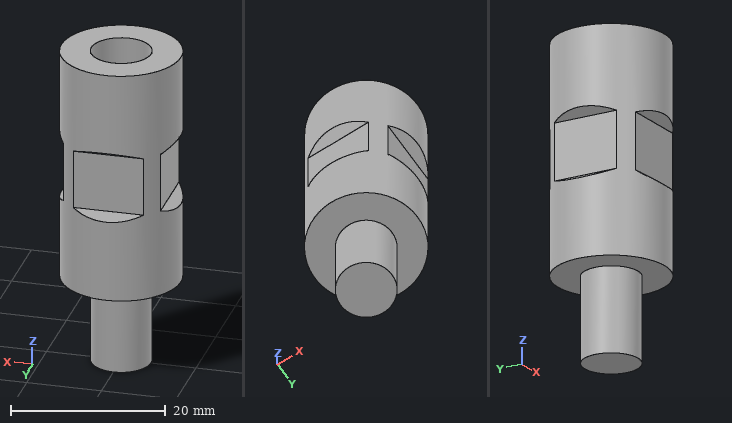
import cadquery as cq
import math

total_height = 44.0
body_diameter = 16.0
pin_diameter = 8.0
pin_length = 12.0
bore_diameter = pin_diameter
bore_depth = pin_length
across_flats = 13.0
flat_height = 8.0
end_slope_angle = 30.0
flat_count = 4

body_height = total_height - pin_length
body_radius = body_diameter / 2
flat_middle = pin_length + body_height / 2


def make_body():
    """Round pin below a larger round body, with a blind bore in the top."""
    pin = cq.Workplane("XY").circle(pin_diameter / 2).extrude(pin_length)
    body = (
        cq.Workplane("XY")
        .workplane(offset=pin_length)
        .circle(body_radius)
        .extrude(body_height)
    )
    bore = (
        cq.Workplane("XY")
        .workplane(offset=total_height - bore_depth)
        .circle(bore_diameter / 2)
        .extrude(bore_depth)
    )
    return pin.union(body).cut(bore)


def make_flat_cutter():
    """Trapezoidal bar on the +X side: a flat floor with sloped ends."""
    inner = across_flats / 2
    outer = body_diameter
    half_inner = flat_height / 2
    half_outer = half_inner + (outer - inner) * math.tan(math.radians(end_slope_angle))
    return (
        cq.Workplane("XZ")
        .polyline([
            (inner, flat_middle - half_inner),
            (outer, flat_middle - half_outer),
            (outer, flat_middle + half_outer),
            (inner, flat_middle + half_inner),
        ])
        .close()
        .extrude(body_radius, both=True)
    )


result = make_body()
flat_cutter = make_flat_cutter()
for index in range(flat_count):
    angle = index * 360 / flat_count
    result = result.cut(flat_cutter.rotate((0, 0, 0), (0, 0, 1), angle))